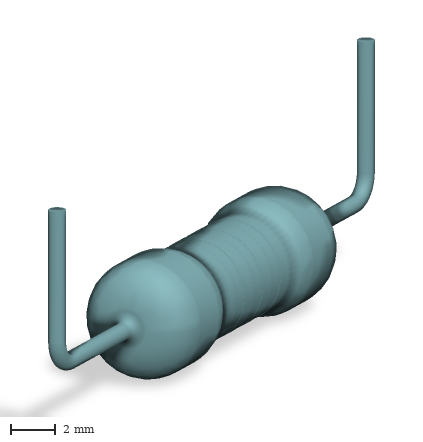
import cadquery as cq
import math


lead_diameter = 0.8
lead_pitch = 30.0
lead_tip_height = 7.35
lead_bend_radius = 1.2
root_fillet_radius = 0.5

body_length = 16.5
cap_diameter = 5.5
core_diameter = 4.67
band_diameter = 4.7
core_length = 6.1
core_segments = 7
shoulder_length = 1.55

lead_radius = lead_diameter / 2
cap_radius = cap_diameter / 2
core_radius = core_diameter / 2
band_radius = band_diameter / 2
root_radius = lead_radius + root_fillet_radius
dome_radius = cap_radius - root_radius
body_end = body_length / 2
dome_start = body_end - dome_radius
core_end = core_length / 2
shoulder_end = core_end + shoulder_length
lead_root = body_end + root_fillet_radius
lead_offset = lead_pitch / 2

shoulder_rise = cap_radius - band_radius
shoulder_arc_radius = (shoulder_length**2 + shoulder_rise**2) / (4 * shoulder_rise)
shoulder_middle = (band_radius + shoulder_rise / 2, core_end + shoulder_length / 2)


def end_body():
    """Solid +Y end of the body: shoulder, cap, dome and lead root fillet."""
    diagonal = math.sqrt(0.5)
    dome_middle = (root_radius + dome_radius * diagonal, dome_start + dome_radius * diagonal)
    root_middle = (
        root_radius - root_fillet_radius * diagonal,
        lead_root - root_fillet_radius * diagonal,
    )
    profile = (
        cq.Workplane("XY")
        .moveTo(0, core_end)
        .lineTo(band_radius, core_end)
        .radiusArc(shoulder_middle, shoulder_arc_radius)
        .radiusArc((cap_radius, shoulder_end), -shoulder_arc_radius)
        .lineTo(cap_radius, dome_start)
        .threePointArc(dome_middle, (root_radius, body_end))
        .threePointArc(root_middle, (lead_radius, lead_root))
        .lineTo(0, lead_root)
        .close()
    )
    return profile.revolve(360, (0, 0, 0), (0, 1, 0))


def disc(start, length, radius):
    """Cylinder on the Y axis running toward +Y from the given start."""
    return cq.Workplane("XZ", origin=(0, start, 0)).circle(radius).extrude(-length)


def banded_core():
    """Core cylinder with a raised band on every other segment, beginning and ending with a band."""
    segment_length = core_length / core_segments
    core = disc(-core_end, core_length, core_radius)
    for segment in range(0, core_segments, 2):
        start = -core_end + segment * segment_length
        core = core.union(disc(start, segment_length, band_radius))
    return core


def lead():
    """Round wire running out along +Y and bending up to its tip."""
    bend_start = lead_offset - lead_bend_radius
    path = (
        cq.Workplane("YZ")
        .moveTo(lead_root, 0)
        .lineTo(bend_start, 0)
        .radiusArc((lead_offset, lead_bend_radius), -lead_bend_radius)
        .lineTo(lead_offset, lead_tip_height)
    )
    return cq.Workplane("XZ", origin=(0, lead_root, 0)).circle(lead_radius).sweep(path)


body_end_with_lead = end_body().union(lead())
opposite_end = body_end_with_lead.mirror("XZ")
result = banded_core().union(body_end_with_lead).union(opposite_end)